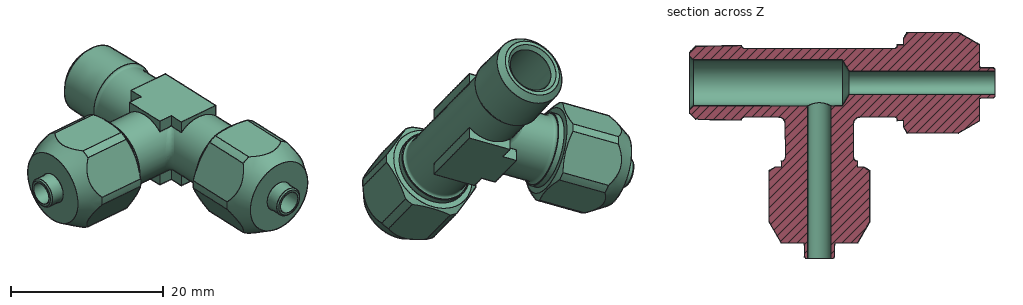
import cadquery as cq
import math


body_radius = 9.0 / 2
bore_radius = 3.0 / 2
crotch_fillet = 0.8
shoulder_fillet = 0.5

pad_half_length = 5.0
pad_half_width = 3.0
pad_height = 10.0

connector_end = 17.0
connector_length = 6.8
connector_chamfer = 0.8
connector_tip_radius = 4.8
connector_root_radius = 9.8 / 2
socket_radius = 3.0
socket_depth = 20.0
socket_mouth_radius = 7.0 / 2
drill_point_angle = math.radians(118)

nut_start = 11.0
nut_end = 21.0
nut_across_flats = 12.0
nut_corner_radius = 13.25 / 2
nut_back_radius = 5.8
nut_front_radius = 5.0
nut_chamfer_angle = math.radians(30)
collar_radius = 5.0
collar_start = 10.2
collar_face_width = 0.15
stub_end = 23.0
stub_radius = 2.0
stub_root_radius = 2.1
stub_root_length = 0.3
stub_tip_chamfer = 0.2


def revolve_about_x(outline):
    """Close an outline of (position, radius) points and revolve it about the X axis."""
    return outline.close().revolve(360, (0, 0, 0), (1, 0, 0))


def revolve_points(points):
    """Revolve a straight-sided outline about the X axis."""
    return revolve_about_x(cq.Workplane("XY").polyline(points))


def shoulder_arc(rise):
    """Middle and end of the concave arc that leaves the body surface and climbs by rise.

    Both points are (axial, radial) offsets from the place where the arc meets the body.
    """
    sweep = math.acos(1 - rise / shoulder_fillet)
    return [
        (shoulder_fillet * math.sin(angle), shoulder_fillet * (1 - math.cos(angle)))
        for angle in (sweep / 2, sweep)
    ]


def make_stem():
    """Plain round arm with a fillet that rises to the flat face of the nut collar."""
    middle, end = shoulder_arc(collar_radius - collar_face_width - body_radius)
    fillet_start = collar_start - end[0]
    return revolve_about_x(
        cq.Workplane("XY")
        .lineTo(0, body_radius)
        .lineTo(fillet_start, body_radius)
        .threePointArc(
            (fillet_start + middle[0], body_radius + middle[1]),
            (collar_start, body_radius + end[1]),
        )
        .lineTo(collar_start, collar_radius)
        .lineTo(nut_start, collar_radius)
        .lineTo(nut_start, 0)
    )


def make_connector():
    """Tapered end with a chamfered tip and a fillet down to the plain arm."""
    root = connector_length - connector_end
    middle, end = shoulder_arc(connector_root_radius - body_radius)
    fillet_end = root + end[0]
    return revolve_about_x(
        cq.Workplane("XY")
        .moveTo(-connector_end, 0)
        .lineTo(-connector_end, connector_tip_radius - connector_chamfer)
        .lineTo(connector_chamfer - connector_end, connector_tip_radius)
        .lineTo(root, connector_root_radius)
        .threePointArc(
            (fillet_end - middle[0], body_radius + middle[1]),
            (fillet_end, body_radius),
        )
        .lineTo(0, body_radius)
        .lineTo(0, 0)
    )


def make_socket():
    """Drilled socket in the connector, with a chamfered mouth and a conical floor."""
    mouth_depth = socket_mouth_radius - socket_radius
    point_length = socket_radius / math.tan(drill_point_angle / 2)
    floor = socket_depth - connector_end
    return revolve_points([
        (-connector_end, 0),
        (-connector_end, socket_mouth_radius),
        (mouth_depth - connector_end, socket_radius),
        (floor, socket_radius),
        (floor + point_length, 0),
    ])


def make_pad():
    """T-shaped plate: a bar along the run and a narrower bar along the branch."""
    run_bar = cq.Workplane("XY").box(2 * pad_half_length, 2 * pad_half_width, pad_height)
    branch_bar = (
        cq.Workplane("XY")
        .center(0, -pad_half_length / 2)
        .box(2 * pad_half_width, pad_half_length, pad_height)
    )
    return run_bar.union(branch_bar)


def make_nut():
    """Hexagon with flats on +Z and -Z, trimmed by a round, chamfered envelope."""
    across_corners = nut_across_flats / math.cos(math.pi / 6)
    hexagon = (
        cq.Workplane("YZ", origin=(nut_start, 0, 0))
        .polygon(6, across_corners)
        .extrude(nut_end - nut_start)
    )
    back_chamfer = (nut_corner_radius - nut_back_radius) * math.tan(nut_chamfer_angle)
    front_chamfer = (nut_corner_radius - nut_front_radius) / math.tan(nut_chamfer_angle)
    envelope = revolve_points([
        (nut_start, 0),
        (nut_start, nut_back_radius),
        (nut_start + back_chamfer, nut_corner_radius),
        (nut_end - front_chamfer, nut_corner_radius),
        (nut_end, nut_front_radius),
        (nut_end, 0),
    ])
    return hexagon.intersect(envelope)


def make_stub():
    """Short tube end in front of the nut, flared at its root."""
    return revolve_points([
        (nut_end, 0),
        (nut_end, stub_root_radius),
        (nut_end + stub_root_length, stub_radius),
        (stub_end - stub_tip_chamfer, stub_radius),
        (stub_end, stub_radius - stub_tip_chamfer),
        (stub_end, 0),
    ])


def on_branch(shape):
    """Turn a shape from the +X arm onto the -Y arm."""
    return shape.rotate((0, 0, 0), (0, 0, 1), -90)


stem = make_stem()
body = make_connector().union(stem).union(on_branch(stem)).union(make_pad())
for side in (-1, 1):
    crotch = cq.selectors.NearestToPointSelector((side * body_radius, -body_radius, 0))
    body = body.edges(crotch).fillet(crotch_fillet)

fitting_end = make_nut().union(make_stub())
body = body.union(fitting_end).union(on_branch(fitting_end))

bore = cq.Workplane("YZ").circle(bore_radius).extrude(stub_end)
result = body.cut(make_socket()).cut(bore).cut(on_branch(bore))